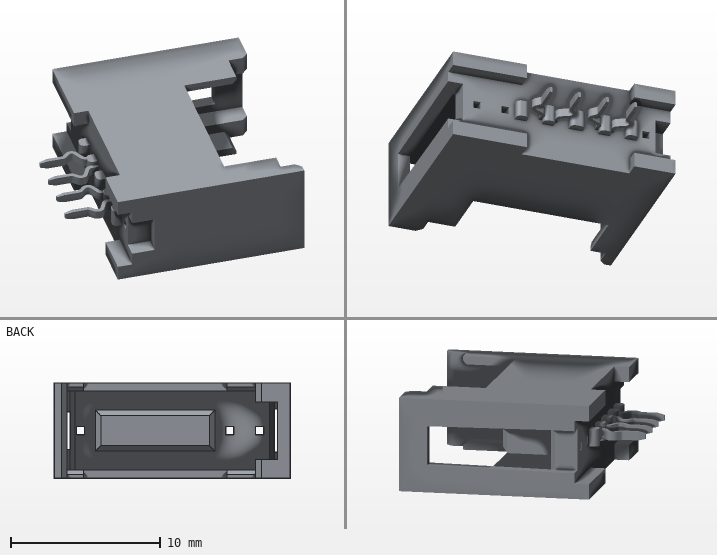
import cadquery as cq
import math


width = 15.8
height = 6.4
mouth_y = 12.0
half_width = width / 2
half_height = height / 2
circuit_pitch = 2.0
pin_center_x = 1.15

flange_length = 1.0
flange_thickness = 1.05
flange_gap_width = 7.62

side_wall = 0.87
back_wall = 1.9
plate_thickness = 0.55
rail_inner_x = -5.57
rail_half_gap = 1.93
cavity_half_width = half_width - side_wall

mouth_shoulder_y = 10.6
mouth_lead_in = 0.27
tab_chamfer = 0.4
notch_floor_y = 6.97
notch_width = 9.6

back_wall_half_width = 6.84
back_wall_chamfer = 0.34
window_end_y = 10.09
window_end_half_height = 1.33
window_root_half_height = 1.44
window_straight_y = back_wall - back_wall_chamfer
slot_half_height = 1.26

tongue_width = 8.0
tongue_height = 2.74
tongue_tip_y = 6.05
tongue_chamfer = 0.37

contact_hole_size = 0.52
first_contact_x = -5.85
empty_positions = [0, 1, 6]

boss_layout = [(-3.92, 0.84), (-2.0, 0.84), (0.0, 1.0), (1.99, 0.84), (3.89, 0.84)]
boss_length = 0.62
boss_height = 1.18
boss_fillet = 0.31

pin_thickness = 0.28
pin_width = 0.58
pin_embed = 1.0
pin_bend_radius = 0.35
pin_pair_offsets = [-circuit_pitch, circuit_pitch]
pin_root_offset = 0.525
pin_bow_offset = 1.67
pin_tail_offset = 1.01
pin_root_bend_y = -0.70
pin_bow_y = -1.28
pin_tail_bend_y = -1.94
pin_taper_y = -3.1
pin_end_y = -3.6
pin_end_thickness = 0.18
pin_end_width = 0.36


def block(x_min, x_max, y_min, y_max, z_min, z_max):
    """Box given by its limits on each axis."""
    box = cq.Workplane("XY").box(x_max - x_min, y_max - y_min, z_max - z_min, centered=False)
    return box.translate((x_min, y_min, z_min))


def level_prism(points, z_half):
    """Outline in X and Y, extruded evenly above and below mid height."""
    return cq.Workplane("XY").polyline(points).close().extrude(z_half, both=True)


def make_shell():
    """Outer block with the pin-side wall set back between the flanges."""
    shell = block(-half_width, half_width, -flange_length, mouth_y, -half_height, half_height)
    flange_z = half_height - flange_thickness
    wall_recess = block(-half_width, half_width, -flange_length, 0, -flange_z, flange_z)
    gap_left = pin_center_x - flange_gap_width / 2
    gap_right = pin_center_x + flange_gap_width / 2
    flange_gap = block(gap_left, gap_right, -flange_length, 0, -half_height, half_height)
    return shell.cut(wall_recess).cut(flange_gap)


def make_cavity():
    """Mating cavity with a lead-in at its mouth, lower in height over the rails along the left wall."""
    plate_z = half_height - plate_thickness
    lead_in_y = mouth_shoulder_y - mouth_lead_in
    profile = [
        (back_wall, -plate_z),
        (lead_in_y, -plate_z),
        (mouth_shoulder_y, -plate_z - mouth_lead_in),
        (mouth_shoulder_y, plate_z + mouth_lead_in),
        (lead_in_y, plate_z),
        (back_wall, plate_z),
    ]
    main = cq.Workplane("YZ").workplane(offset=rail_inner_x).polyline(profile).close()
    cavity = main.extrude(cavity_half_width - rail_inner_x)
    rail = block(-cavity_half_width, rail_inner_x, back_wall, mouth_y, -rail_half_gap, rail_half_gap)
    return cavity.union(rail).union(make_wall_corner(-1, rail_half_gap)).union(make_wall_corner(1, plate_z))


def make_wall_corner(side, z_half):
    """Part of the cavity that chamfers one end of the back wall; side is -1 for left, 1 for right."""
    outline = [
        (side * cavity_half_width, window_straight_y),
        (side * back_wall_half_width, window_straight_y),
        (side * (back_wall_half_width - back_wall_chamfer), back_wall),
        (side * cavity_half_width, back_wall),
    ]
    return level_prism(outline, z_half)


def make_mouth_cut():
    """Stepped opening through both plates, with chamfered tab tips."""
    notch_left = pin_center_x - notch_width / 2
    notch_right = pin_center_x + notch_width / 2
    outline = [
        (rail_inner_x - tab_chamfer, mouth_y),
        (rail_inner_x, mouth_y - tab_chamfer),
        (rail_inner_x, mouth_shoulder_y),
        (notch_left, mouth_shoulder_y),
        (notch_left, notch_floor_y),
        (notch_right, notch_floor_y),
        (notch_right, mouth_shoulder_y),
        (cavity_half_width, mouth_shoulder_y),
        (cavity_half_width, mouth_y - tab_chamfer),
        (cavity_half_width + tab_chamfer, mouth_y),
    ]
    return level_prism(outline, half_height)


def make_window():
    """Long tapered window through the left wall, open at the pin side."""
    outline = [
        (0, -window_root_half_height),
        (window_straight_y, -window_root_half_height),
        (window_end_y, -window_end_half_height),
        (window_end_y, window_end_half_height),
        (window_straight_y, window_root_half_height),
        (0, window_root_half_height),
    ]
    window = cq.Workplane("YZ").workplane(offset=-half_width).polyline(outline).close().extrude(side_wall)
    gap_z = window_root_half_height
    wall_gap = block(-half_width, -back_wall_half_width, 0, window_straight_y, -gap_z, gap_z)
    return window.union(wall_gap)


def make_right_slot():
    """Short slot in the right wall, open at the pin side and outward."""
    z_half = slot_half_height
    return block(back_wall_half_width, half_width, 0, window_straight_y, -z_half, z_half)


def make_tongue():
    """Central tongue with a chamfered tip."""
    left = pin_center_x - tongue_width / 2
    right = pin_center_x + tongue_width / 2
    tongue = block(left, right, back_wall, tongue_tip_y, -tongue_height / 2, tongue_height / 2)
    return tongue.faces(">Y").chamfer(tongue_chamfer)


def make_contact_hole(position):
    """Square hole through the back wall at an empty contact position."""
    x = first_contact_x + position * circuit_pitch
    half = contact_hole_size / 2
    return block(x - half, x + half, 0, back_wall, -half, half)


def make_boss(x, boss_width):
    """Standoff boss with two rounded edges at its free end."""
    half = boss_width / 2
    boss = block(x - half, x + half, -boss_length, 0, -boss_height / 2, boss_height / 2)
    return boss.edges("|Z and <Y").fillet(boss_fillet)


def bend_points(before, corner, after):
    """Start, middle and end of the arc that rounds a corner of the pin centerline."""
    to_before = (cq.Vector(*before) - cq.Vector(*corner)).normalized()
    to_after = (cq.Vector(*after) - cq.Vector(*corner)).normalized()
    half_angle = to_before.getAngle(to_after) / 2
    tangent_length = pin_bend_radius / math.tan(half_angle)
    apex_distance = pin_bend_radius / math.sin(half_angle) - pin_bend_radius
    vertex = cq.Vector(*corner)
    start = vertex + to_before * tangent_length
    middle = vertex + (to_before + to_after).normalized() * apex_distance
    end = vertex + to_after * tangent_length
    return start.toTuple()[:2], middle.toTuple()[:2], end.toTuple()[:2]


def make_pin(pair_x, side):
    """Flat bent pin with a tapered end, on one side of its pair."""
    corners = [
        (pair_x + side * pin_root_offset, pin_embed),
        (pair_x + side * pin_root_offset, pin_root_bend_y),
        (pair_x + side * pin_bow_offset, pin_bow_y),
        (pair_x + side * pin_tail_offset, pin_tail_bend_y),
        (pair_x + side * pin_tail_offset, pin_taper_y),
    ]
    path = cq.Workplane("XY").moveTo(*corners[0])
    for before, corner, after in zip(corners, corners[1:], corners[2:]):
        start, middle, end = bend_points(before, corner, after)
        path = path.lineTo(*start).threePointArc(middle, end)
    path = path.lineTo(*corners[-1])
    root = cq.Workplane("XZ", origin=(corners[0][0], pin_embed, 0))
    blade = root.rect(pin_thickness, pin_width).sweep(path)
    tip = (
        cq.Workplane("XZ", origin=(corners[-1][0], pin_taper_y, 0))
        .rect(pin_thickness, pin_width)
        .workplane(offset=pin_taper_y - pin_end_y)
        .rect(pin_end_thickness, pin_end_width)
        .loft()
    )
    return blade.union(tip)


def make_part():
    """Housing with its openings, tongue, bosses and pins."""
    part = make_shell().cut(make_cavity()).cut(make_mouth_cut())
    part = part.cut(make_window()).cut(make_right_slot())
    for position in empty_positions:
        part = part.cut(make_contact_hole(position))
    part = part.union(make_tongue())
    for offset, boss_width in boss_layout:
        part = part.union(make_boss(pin_center_x + offset, boss_width))
    for offset in pin_pair_offsets:
        for side in (-1, 1):
            part = part.union(make_pin(pin_center_x + offset, side))
    return part


result = make_part()